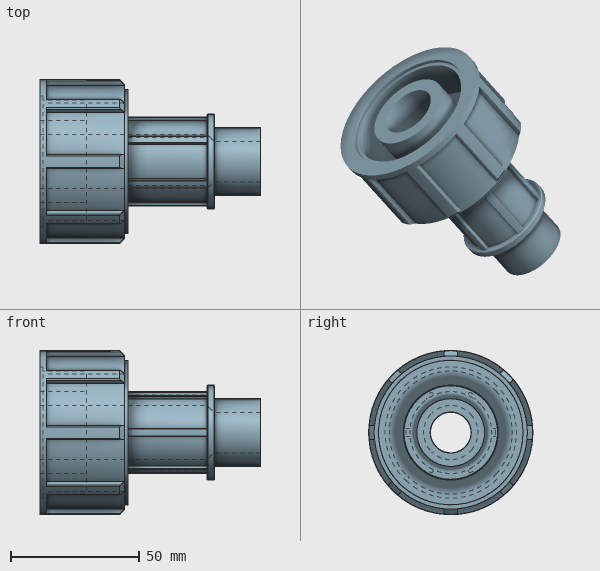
import cadquery as cq

total_length = 86.0
flange_length = 2.6
nut_chamfer_start = 31.05
nut_length = 33.0
collar_end = 34.4
ring_start = 65.2
ring_end = 68.0

nut_diameter = 64.0
nut_body_diameter = 59.7
collar_diameter = 56.3
nut_rib_count = 8
nut_rib_width = 5.3
nut_rib_chamfer = 0.5

mouth_diameter = 51.2
mouth_depth = 1.3
cavity_diameter = 48.0
cavity_depth = 18.1

tail_diameter = 32.0
ring_diameter = 37.0
ring_chamfer = 0.3
spigot_diameter = 26.4
sleeve_rib_count = 6
sleeve_rib_diameter = 34.8
sleeve_rib_width = 3.1
sleeve_rib_chamfer = 0.3

bore_entry_diameter = 21.15
bore_exit_diameter = 15.8
bore_taper_start = ring_start
bore_taper_end = bore_taper_start + (bore_entry_diameter - bore_exit_diameter) / 2


def cylinder(diameter, start, end):
    """Solid cylinder on the X axis between two axial stations."""
    return cq.Workplane("YZ", origin=(start, 0, 0)).circle(diameter / 2).extrude(end - start)


def ribs(count, width, diameter, chamfer, start, end):
    """Evenly spaced ribs along X with chamfered crests rounded to the given diameter; the first faces +Y."""
    radius = diameter / 2
    bar = (
        cq.Workplane("XY")
        .box(end - start, radius, width, centered=(False, False, True))
        .edges("|X and >Y")
        .chamfer(chamfer)
        .translate((start, 0, 0))
    )
    pattern = bar
    for index in range(1, count):
        pattern = pattern.union(bar.rotate((0, 0, 0), (1, 0, 0), index * 360 / count))
    return pattern.intersect(cylinder(diameter, start, end))


def nut():
    """Ribbed nut with a full flange at the mouth and a bevel across the back ends of the ribs."""
    body = cylinder(nut_body_diameter, 0, nut_length)
    flange = cylinder(nut_diameter, 0, flange_length)
    grips = ribs(nut_rib_count, nut_rib_width, nut_diameter, nut_rib_chamfer, 0, nut_length)
    bevel_envelope = (
        cq.Workplane("XY")
        .polyline([
            (0, 0),
            (0, nut_diameter / 2),
            (nut_chamfer_start, nut_diameter / 2),
            (nut_length, nut_body_diameter / 2),
            (nut_length, 0),
        ])
        .close()
        .revolve(360, (0, 0, 0), (1, 0, 0))
    )
    collar = cylinder(collar_diameter, nut_length, collar_end)
    mouth = cylinder(mouth_diameter, 0, mouth_depth)
    cavity = cylinder(cavity_diameter, 0, cavity_depth)
    outside = body.union(flange).union(grips.intersect(bevel_envelope)).union(collar)
    return outside.cut(mouth).cut(cavity)


def tailpiece():
    """Tube through the nut, ribbed behind it and stepping down past a ring to the spigot."""
    tube = cylinder(tail_diameter, 0, ring_start)
    sleeve_ribs = ribs(
        sleeve_rib_count, sleeve_rib_width, sleeve_rib_diameter, sleeve_rib_chamfer, collar_end, ring_start
    )
    ring = cylinder(ring_diameter, ring_start, ring_end).edges().chamfer(ring_chamfer)
    spigot = cylinder(spigot_diameter, ring_start, total_length)
    return tube.union(sleeve_ribs).union(ring).union(spigot)


def bore():
    """Through bore: a wide entry, a 45 degree conical reduction and a narrow exit."""
    return (
        cq.Workplane("XY")
        .polyline([
            (0, 0),
            (0, bore_entry_diameter / 2),
            (bore_taper_start, bore_entry_diameter / 2),
            (bore_taper_end, bore_exit_diameter / 2),
            (total_length, bore_exit_diameter / 2),
            (total_length, 0),
        ])
        .close()
        .revolve(360, (0, 0, 0), (1, 0, 0))
    )


result = nut().union(tailpiece()).cut(bore())